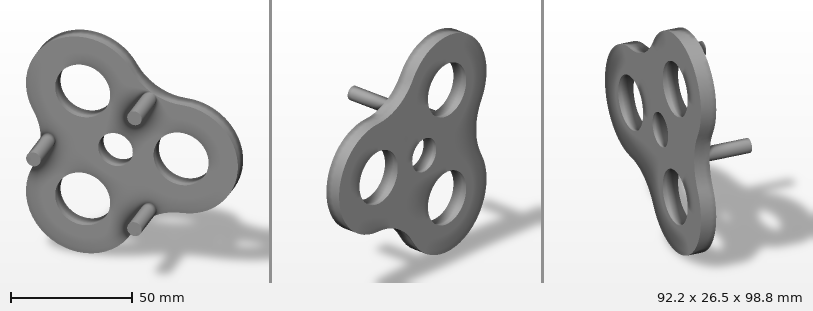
import cadquery as cq
import math

lobe_radius = 24.7
waist_radius = 25.5
lobe_hole_diameter = 24.0
center_hole_diameter = 15.0
pin_diameter = 6.3
plate_thickness = 7.0
total_depth = 26.5

lobe_spacing = 2 * lobe_radius
lobe_pitch_radius = lobe_spacing / math.sqrt(3)

waist_center_distance = lobe_pitch_radius / 2 + math.sqrt(
    (lobe_radius + waist_radius) ** 2 - (lobe_spacing / 2) ** 2
)
waist_distance = waist_center_distance - waist_radius

pin_pitch_radius = waist_distance - pin_diameter / 2
pin_length = total_depth - plate_thickness

lobe_angles = [0, 120, 240]
waist_offset = 60


def polar(radius, angle):
    """Point in the XZ plane at an angle in degrees from +X."""
    return (
        radius * math.cos(math.radians(angle)),
        radius * math.sin(math.radians(angle)),
    )


def tangent_point(lobe_angle, waist_angle):
    """Contact of lobe and waist arcs, on the line between their centres."""
    lobe_x, lobe_z = polar(lobe_pitch_radius, lobe_angle)
    waist_x, waist_z = polar(waist_center_distance, waist_angle)
    fraction = lobe_radius / (lobe_radius + waist_radius)
    return (
        lobe_x + fraction * (waist_x - lobe_x),
        lobe_z + fraction * (waist_z - lobe_z),
    )


def make_plate():
    """Three-lobed plate, front face at Y = 0 and extending toward +Y."""
    first_lobe = lobe_angles[0]
    outline = cq.Workplane("XZ").moveTo(*tangent_point(first_lobe, first_lobe - waist_offset))
    for angle in lobe_angles:
        waist_angle = angle + waist_offset
        next_lobe_angle = waist_angle + waist_offset
        lobe_tip = polar(lobe_pitch_radius + lobe_radius, angle)
        waist_middle = polar(waist_distance, waist_angle)
        outline = outline.threePointArc(lobe_tip, tangent_point(angle, waist_angle))
        outline = outline.threePointArc(waist_middle, tangent_point(next_lobe_angle, waist_angle))
    return outline.close().extrude(-plate_thickness)


def make_holes():
    """Cutters for the centre hole and one hole in each lobe."""
    lobe_centers = [polar(lobe_pitch_radius, angle) for angle in lobe_angles]
    lobe_holes = (
        cq.Workplane("XZ")
        .pushPoints(lobe_centers)
        .circle(lobe_hole_diameter / 2)
        .extrude(-plate_thickness)
    )
    center_hole = cq.Workplane("XZ").circle(center_hole_diameter / 2).extrude(-plate_thickness)
    return lobe_holes.union(center_hole)


def make_pins():
    """Pins at the waists, standing on the front face toward -Y."""
    pin_centers = [polar(pin_pitch_radius, angle + waist_offset) for angle in lobe_angles]
    return (
        cq.Workplane("XZ")
        .pushPoints(pin_centers)
        .circle(pin_diameter / 2)
        .extrude(pin_length)
    )


result = make_plate().cut(make_holes()).union(make_pins())